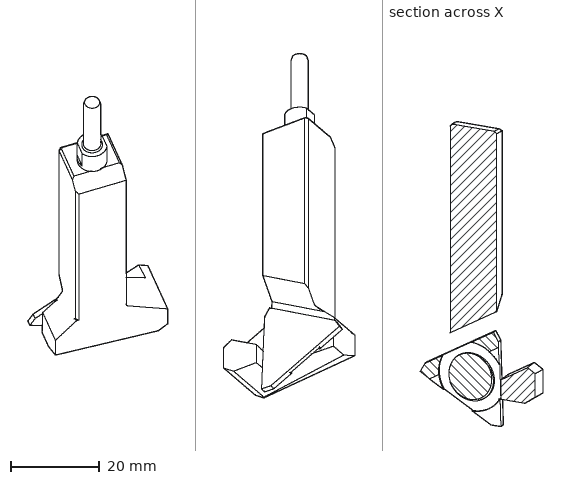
import cadquery as cq
import math

shank_size = 12.0
shank_top = 63.4
shank_edge_chamfer = 0.6
top_edge_chamfer = 0.55
top_corner_chamfer = 3.0
half_shank = shank_size / 2

collar_diameter = 6.8
collar_top = 69.0
collar_flats = 6.0
flats_bottom = shank_top + 0.9
pin_diameter = 3.95
pin_top = 84.9
pin_tip_length = 0.9
pin_tip_inset = 0.3
pin_root_flare = 0.4

head_overhang = 1.0
head_front = -11.0
head_front_height = 8.1
head_back = 16.0
head_back_height = 7.5
head_back_slope = 30
back_bevel_length = 2.75
back_bevel_height = 1.9
head_root_fillet = 0.7
corner_cut_x = 4.6
corner_cut_y = 28.45
corner_cut_z = 2.5

seat_turn = 30
seat_tilt = 4
insert_center = (-5.0, -0.7, 4.1)
insert_inradius = 7.2
tip_width = 2.5
plate_thickness = 1.3
hub_diameter = 11.4
hub_chamfer = 0.55
groove_diameter = 16.5
groove_depth = 0.4
insert_thickness = 2.0
wall_distance = 9.7
stop_distance = 3.3
stop_front = 7.1
pick_margin = 0.1
reach = 36.7


def seat_plane():
    """Plane of the insert's outer face: local X runs along the seat wall, local Z points into the seat."""
    turn = math.radians(seat_turn)
    tilt = math.radians(seat_tilt)
    along_wall = (0, math.cos(turn), math.sin(turn))
    inward = (
        math.cos(tilt),
        math.sin(tilt) * math.sin(turn),
        -math.sin(tilt) * math.cos(turn),
    )
    return cq.Plane(origin=insert_center, xDir=along_wall, normal=inward)


def make_shank():
    shank = cq.Workplane("XY").box(shank_size, shank_size, shank_top, centered=(True, True, False))
    shank = shank.faces("<Y").edges("|Z").chamfer(shank_edge_chamfer)
    shank = shank.faces(">Z").edges(">X").chamfer(top_corner_chamfer)
    return shank.faces(">Z").edges("not >X").chamfer(top_edge_chamfer)


def make_head():
    slope_rise = (head_back - half_shank) * math.tan(math.radians(head_back_slope))
    front_slope_rise = -half_shank - head_front
    outline = [
        (head_front, 0),
        (head_back - back_bevel_length, 0),
        (head_back, back_bevel_height),
        (head_back, head_back_height),
        (half_shank, head_back_height + slope_rise),
        (-half_shank, head_front_height + front_slope_rise),
        (head_front, head_front_height),
    ]
    return (
        cq.Workplane("YZ", origin=(-half_shank - head_overhang, 0, 0))
        .polyline(outline)
        .close()
        .extrude(shank_size + head_overhang)
    )


def make_spindle():
    pin_radius = pin_diameter / 2
    collar = (
        cq.Workplane("XY", origin=(0, 0, shank_top))
        .circle(collar_diameter / 2)
        .extrude(collar_top - shank_top)
    )
    flats = (
        cq.Workplane("XY", origin=(0, 0, flats_bottom))
        .rect(collar_diameter, 2 * collar_diameter)
        .rect(collar_diameter, collar_flats)
        .extrude(collar_top - flats_bottom)
    )
    profile = [
        (0, collar_top),
        (pin_radius + pin_root_flare, collar_top),
        (pin_radius, collar_top + pin_root_flare),
        (pin_radius, pin_top - pin_tip_length),
        (pin_radius - pin_tip_inset, pin_top),
        (0, pin_top),
    ]
    pin = cq.Workplane("XZ").polyline(profile).close().revolve(360, (0, 0, 0), (0, 1, 0))
    return collar.cut(flats).union(pin)


def seat_slot(lower_end):
    """Cutter along the seat wall, from the 45 degree wall down to lower_end."""
    profile = [
        (wall_distance, insert_thickness),
        (wall_distance + reach, insert_thickness - reach),
        (lower_end, insert_thickness - reach),
        (lower_end, insert_thickness),
    ]
    plane = seat_plane()
    profile_plane = cq.Plane(origin=plane.origin, xDir=plane.yDir, normal=plane.xDir)
    return cq.Workplane(profile_plane).polyline(profile).close().extrude(reach, both=True)


def make_seat_cutters():
    """One cutter ahead of the stop block's front face, and one above the block's sloping top."""
    ahead_of_stop = cq.Workplane("XY").box(4 * reach, 2 * reach, 4 * reach)
    ahead_of_stop = ahead_of_stop.translate((0, stop_front - reach, 0))
    return [seat_slot(-reach).intersect(ahead_of_stop), seat_slot(-stop_distance)]


def make_corner_cutter():
    """Removes the lower front corner of the head on the +X side with one sloping plane."""
    outward = (1 / corner_cut_x, -1 / corner_cut_y, -1 / corner_cut_z)
    plane = cq.Plane(
        origin=(half_shank, head_front, corner_cut_z),
        xDir=(0, corner_cut_y, -corner_cut_z),
        normal=outward,
    )
    return cq.Workplane(plane).rect(4 * reach, 4 * reach).extrude(reach)


def head_root_edge(y):
    """Selector for the edge where the shank face at this Y meets the sloping top of the head."""
    return cq.selectors.BoxSelector(
        (0, y - pick_margin, head_front_height),
        (half_shank - shank_edge_chamfer, y + pick_margin, head_front_height + half_shank),
    )


def make_holder():
    holder = make_shank().union(make_head())
    holder = holder.union(make_spindle())
    for cutter in make_seat_cutters():
        holder = holder.cut(cutter)
    for side in (-half_shank, half_shank):
        holder = holder.edges(head_root_edge(side)).fillet(head_root_fillet)
    return holder.cut(make_corner_cutter())


def make_insert():
    """Triangular plate with three blunt tips and a round hub that rests on the seat floor."""
    tip_angle = math.radians(60)
    half_side = insert_inradius * math.sqrt(3)
    square_end = half_side - tip_width / math.tan(tip_angle)
    slanted_end = half_side - tip_width / math.sin(tip_angle)
    outline = []
    for side in range(3):
        turn = math.radians(-120 * side)
        for along in (-slanted_end, square_end):
            outline.append((
                along * math.cos(turn) - insert_inradius * math.sin(turn),
                along * math.sin(turn) + insert_inradius * math.cos(turn),
            ))
    plate = cq.Workplane(seat_plane()).polyline(outline).close().extrude(plate_thickness)
    hub = cq.Workplane(seat_plane()).circle(hub_diameter / 2).extrude(insert_thickness)
    hub = hub.edges(">X").chamfer(hub_chamfer)
    groove = (
        cq.Workplane(seat_plane())
        .workplane(offset=plate_thickness - groove_depth)
        .circle(groove_diameter / 2)
        .extrude(groove_depth)
    )
    return plate.cut(groove).union(hub)


holder = make_holder()
insert = make_insert()
result = cq.Compound.makeCompound([holder.val(), insert.val()])